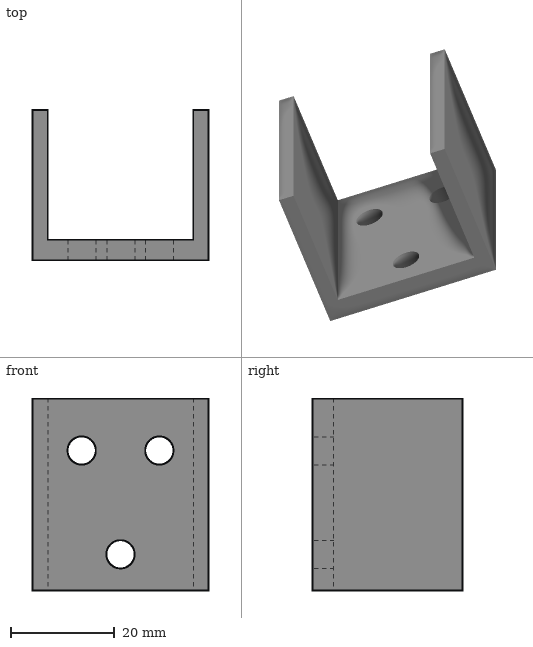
import cadquery as cq

width = 34.0
depth = 29.0
height = 37.0

side_wall = 3.0
back_wall = 4.0

hole_diameter = 5.4
upper_hole_spacing = 15.0
upper_hole_drop = 10.0
lower_hole_height = 7.0


def channel():
    """U-shaped channel, open at +Y and at both ends, with its back wall on the -Y side."""
    block = cq.Workplane("XY").box(width, depth, height, centered=(True, False, False))
    slot = (
        cq.Workplane("XY")
        .box(width - 2 * side_wall, depth - back_wall, height, centered=(True, False, False))
        .translate((0, back_wall, 0))
    )
    return block.cut(slot)


def mounting_holes():
    """Cylinders along Y through the back wall, two above and one below."""
    upper_hole_height = height - upper_hole_drop
    hole_centers = [
        (-upper_hole_spacing / 2, upper_hole_height),
        (upper_hole_spacing / 2, upper_hole_height),
        (0, lower_hole_height),
    ]
    return (
        cq.Workplane("XZ")
        .pushPoints(hole_centers)
        .circle(hole_diameter / 2)
        .extrude(-back_wall)
    )


result = channel().cut(mounting_holes())